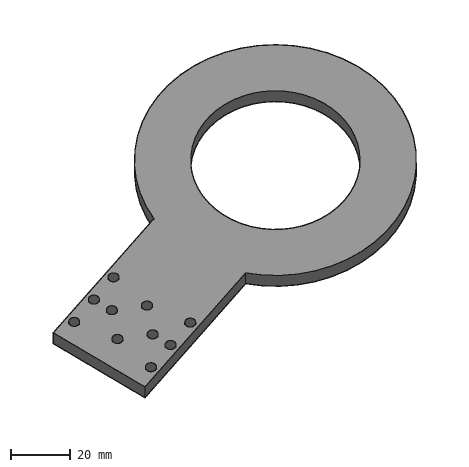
import cadquery as cq

total_length = 149.2
thickness = 6.4
ring_diameter = 95.2
bore_diameter = 57.2
tab_width = 38.2

hole_diameter = 3.7
cross_radius = 8.5
side_hole_x = 16.0
side_hole_pitch = 11.3

tab_end_y = ring_diameter / 2 - total_length
pattern_y = tab_end_y + tab_width / 2


def make_body():
    """Flat disc joined to a straight tab."""
    disc = cq.Workplane("XY").circle(ring_diameter / 2).extrude(thickness)
    tab = (
        cq.Workplane("XY")
        .center(0, tab_end_y / 2)
        .rect(tab_width, -tab_end_y)
        .extrude(thickness)
    )
    return disc.union(tab)


def hole_positions():
    """Cross of four inner holes plus a row of three along each side."""
    cross = [
        (cross_radius, pattern_y),
        (-cross_radius, pattern_y),
        (0, pattern_y + cross_radius),
        (0, pattern_y - cross_radius),
    ]
    rows = [
        (side * side_hole_x, pattern_y + step * side_hole_pitch)
        for side in (-1, 1)
        for step in (-1, 0, 1)
    ]
    return cross + rows


bore = cq.Workplane("XY").circle(bore_diameter / 2).extrude(thickness)
mounting_holes = (
    cq.Workplane("XY")
    .pushPoints(hole_positions())
    .circle(hole_diameter / 2)
    .extrude(thickness)
)

result = make_body().cut(bore).cut(mounting_holes)